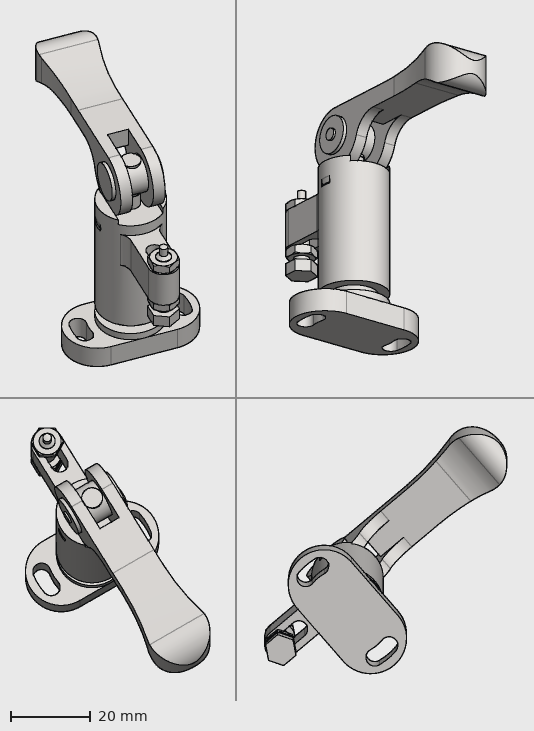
import cadquery as cq
import math

OVERALL_LENGTH = 76.05

COLUMN_DIAMETER = 18.0
PLATE_LENGTH = 36.0
PLATE_HEIGHT = 6.0
FLANGE_TOP = 8.0
NECK_DIAMETER = 12.0
ROD_DIAMETER = 5.0
ROD_END_DIAMETER = 5.25
ARC_SLOT_RADIUS = 13.5
ARC_SLOT_WIDTH = 4.4
ARC_SLOT_HALF_ANGLE = 10.0

HOUSING_BOTTOM = 10.5
SLOT_FLOOR = 43.05
HOUSING_TOP = 44.5
NOTCH_WIDTH = 3.2
NOTCH_DEPTH = 0.2
NOTCH_BOTTOM = 37.95
NOTCH_LEDGE = 38.4

ARM_WIDTH = 8.05
ARM_TOP = 39.9
ARM_HEIGHT = 9.95
ARM_FILLET = 4.0
BOLT_X = 22.0
ARM_SLOT_WIDTH = 4.3
ARM_SLOT_START = 16.0

HEX_FLATS = 7.0
NUT_HEIGHT = 2.4
SHANK_DIAMETER = 4.0
HEAD_BOTTOM = 22.7
HEAD_HEIGHT = 3.2
SHANK_TOP = 42.6
CONE_TOP = 43.35
TIP_DIAMETER = 2.1
TIP_TOP = 45.6
TIP_DOME = 0.15
NUT_CHAMFER_ANGLE = 30.0

PIN_Z = 52.1
PIN_DIAMETER = 9.95
PIN_LENGTH = 14.0
PIN_BOSS_DIAMETER = 3.2
PIN_BOSS_LENGTH = 0.5

LEVER_WIDTH = 12.0
LEVER_TOP = 59.6
LEVER_THICKNESS = 5.2
CAM_RADIUS = 9.5
THROAT_RADIUS = 7.4
FORK_GAP = 5.6
FORK_START = -8.5
KNOB_WIDTH = 16.0
KNOB_TOP = 62.1
KNOB_BOTTOM = 50.95
CROWN_X = -43.05
CROWN_RADIUS = 7.45
LOBE_RADIUS = 4.4
TOP_BLEND_START = -20.15
UNDERSIDE_BLEND_START = -34.9
SIDE_BLEND_START = -24.95

COLUMN_RADIUS = COLUMN_DIAMETER / 2
HEX_CORNER_RADIUS = HEX_FLATS / math.sqrt(3)
ARM_BOTTOM = ARM_TOP - ARM_HEIGHT
PIN_BOTTOM = PIN_Z - PIN_DIAMETER / 2
PIN_TOP = PIN_Z + PIN_DIAMETER / 2
LEVER_UNDERSIDE = LEVER_TOP - LEVER_THICKNESS
EYE_DIAMETER = LEVER_TOP - SLOT_FLOOR
LEVER_TIP = BOLT_X + HEX_CORNER_RADIUS - OVERALL_LENGTH


def cylinder(diameter, bottom, top):
    """Vertical cylinder on the column axis."""
    return cq.Workplane("XY").workplane(offset=bottom).circle(diameter / 2).extrude(top - bottom)


def cross_cylinder(diameter, start, end, z):
    """Cylinder along Y from start to end, at height z above the column axis."""
    plane = cq.Workplane("XZ", origin=(0, start, z))
    return plane.circle(diameter / 2).extrude(start - end)


def point_on(centre, radius, direction):
    """Point of a circle, at a direction in degrees from the first axis."""
    angle = math.radians(direction)
    return (centre[0] + radius * math.cos(angle), centre[1] + radius * math.sin(angle))


def direction_to(start, end):
    """Direction in degrees from one point to another."""
    return math.degrees(math.atan2(end[1] - start[1], end[0] - start[0]))


def blend_to_round(line_x, line_height, centre, radius):
    """Middle and end of an arc that leaves a horizontal line at line_x and runs left into a round.

    The arc is tangent to the line and to the outside of the round. Heights are measured
    outwards from the lever, so the arc's centre lies above the line.
    """
    run = line_x - centre[0]
    rise = line_height - centre[1]
    blend_radius = (run**2 + rise**2 - radius**2) / (2 * (radius - rise))
    blend_centre = (line_x, line_height + blend_radius)
    end_direction = direction_to(blend_centre, centre) % 360
    middle = point_on(blend_centre, blend_radius, (270 + end_direction) / 2)
    end = point_on(blend_centre, blend_radius, end_direction)
    return middle, end


def flipped(point):
    return (point[0], -point[1])



def arc_slot(side):
    """Cutter for a slot curved about the column axis, on the side +1 (+Y) or -1 (-Y)."""
    inner = ARC_SLOT_RADIUS - ARC_SLOT_WIDTH / 2
    outer = ARC_SLOT_RADIUS + ARC_SLOT_WIDTH / 2
    middle = 90 * side
    start = middle - ARC_SLOT_HALF_ANGLE
    end = middle + ARC_SLOT_HALF_ANGLE
    axis = (0, 0)
    band = (
        cq.Workplane("XY")
        .moveTo(*point_on(axis, inner, start))
        .threePointArc(point_on(axis, inner, middle), point_on(axis, inner, end))
        .lineTo(*point_on(axis, outer, end))
        .threePointArc(point_on(axis, outer, middle), point_on(axis, outer, start))
        .close()
        .extrude(PLATE_HEIGHT)
    )
    end_centres = [point_on(axis, ARC_SLOT_RADIUS, angle) for angle in (start, end)]
    ends = cq.Workplane("XY").pushPoints(end_centres).circle(ARC_SLOT_WIDTH / 2).extrude(PLATE_HEIGHT)
    return band.union(ends)


def make_base():
    """Slotted plate with flange, neck and rod; the rod's thicker end fills the pin's cross hole."""
    plate = cq.Workplane("XY").slot2D(PLATE_LENGTH, COLUMN_DIAMETER, 90).extrude(PLATE_HEIGHT)
    for side in (1, -1):
        plate = plate.cut(arc_slot(side))
    flange = cylinder(COLUMN_DIAMETER, PLATE_HEIGHT, FLANGE_TOP)
    neck = cylinder(NECK_DIAMETER, FLANGE_TOP, HOUSING_BOTTOM)
    rod = cylinder(ROD_DIAMETER, HOUSING_BOTTOM, PIN_BOTTOM)
    rod_end = cylinder(ROD_END_DIAMETER, PIN_BOTTOM, PIN_TOP)
    return plate.union(flange).union(neck).union(rod).union(rod_end)



def arm_outline():
    """Arm with a full-round end and fillets that run into the column."""
    half_width = ARM_WIDTH / 2
    fillet_y = half_width + ARM_FILLET
    fillet_x = math.sqrt((COLUMN_RADIUS + ARM_FILLET) ** 2 - fillet_y**2)
    fillet_centre = (fillet_x, fillet_y)
    root_direction = direction_to(fillet_centre, (0, 0)) % 360
    root = point_on(fillet_centre, ARM_FILLET, root_direction)
    middle = point_on(fillet_centre, ARM_FILLET, (root_direction + 270) / 2)
    return (
        cq.Workplane("XY")
        .workplane(offset=ARM_BOTTOM)
        .moveTo(0, 0)
        .lineTo(*root)
        .threePointArc(middle, (fillet_x, half_width))
        .lineTo(BOLT_X, half_width)
        .threePointArc((BOLT_X + half_width, 0), (BOLT_X, -half_width))
        .lineTo(fillet_x, -half_width)
        .threePointArc(flipped(middle), flipped(root))
        .close()
    )


def arm_slot():
    """Through slot for the bolt, ending concentric with the bolt."""
    length = BOLT_X - ARM_SLOT_START + ARM_SLOT_WIDTH
    centre_x = (BOLT_X + ARM_SLOT_START) / 2
    return (
        cq.Workplane("XY", origin=(centre_x, 0, ARM_BOTTOM))
        .slot2D(length, ARM_SLOT_WIDTH)
        .extrude(ARM_HEIGHT)
    )


def side_notches():
    """Two shallow notches on the +Y and -Y sides, deepest at the ledge and fading out upwards."""
    ring = (
        cq.Workplane("XZ")
        .moveTo(COLUMN_RADIUS, NOTCH_BOTTOM)
        .lineTo(COLUMN_RADIUS, ARM_TOP)
        .lineTo(COLUMN_RADIUS - NOTCH_DEPTH, NOTCH_LEDGE)
        .close()
        .revolve(360, (0, 0, 0), (0, 1, 0))
    )
    slab = (
        cq.Workplane("XY")
        .workplane(offset=NOTCH_BOTTOM)
        .rect(NOTCH_WIDTH, COLUMN_DIAMETER)
        .extrude(ARM_TOP - NOTCH_BOTTOM)
    )
    return ring.intersect(slab)


def make_housing():
    """Column that slides on the rod, with a slot for the lever and an arm for the bolt."""
    column = cylinder(COLUMN_DIAMETER, HOUSING_BOTTOM, HOUSING_TOP)
    lever_slot = (
        cq.Workplane("XY")
        .workplane(offset=SLOT_FLOOR)
        .rect(COLUMN_DIAMETER, LEVER_WIDTH)
        .extrude(HOUSING_TOP - SLOT_FLOOR)
    )
    rod_hole = cylinder(ROD_DIAMETER, HOUSING_BOTTOM, HOUSING_TOP)
    arm = arm_outline().extrude(ARM_HEIGHT)
    body = column.union(arm)
    return body.cut(lever_slot).cut(rod_hole).cut(arm_slot()).cut(side_notches())



def lever_side_profile():
    """Outline in the XZ plane: knob, handle and cam, extruded over the knob width."""
    eye_radius = EYE_DIAMETER / 2
    eye_centre_z = SLOT_FLOOR + eye_radius
    pin_centre = (0, PIN_Z)

    cam_flat_end = -math.sqrt(CAM_RADIUS**2 - (PIN_Z - SLOT_FLOOR) ** 2)
    throat_z = LEVER_UNDERSIDE - THROAT_RADIUS
    throat_x = -math.sqrt((CAM_RADIUS + THROAT_RADIUS) ** 2 - (PIN_Z - throat_z) ** 2)
    throat_centre = (throat_x, throat_z)
    cam_start_direction = direction_to(pin_centre, throat_centre) % 360
    cam_end_direction = direction_to(pin_centre, (cam_flat_end, SLOT_FLOOR)) % 360
    cam_start = point_on(pin_centre, CAM_RADIUS, cam_start_direction)
    cam_middle = point_on(pin_centre, CAM_RADIUS, (cam_start_direction + cam_end_direction) / 2)
    throat_direction = cam_start_direction - 180
    throat_middle = point_on(throat_centre, THROAT_RADIUS, (throat_direction + 90) / 2)

    crown_centre = (CROWN_X, KNOB_TOP - CROWN_RADIUS)
    lobe_z = KNOB_BOTTOM + LOBE_RADIUS
    lobe_x = CROWN_X - math.sqrt((CROWN_RADIUS - LOBE_RADIUS) ** 2 - (lobe_z - crown_centre[1]) ** 2)
    lobe_centre = (lobe_x, lobe_z)
    meeting_direction = direction_to(crown_centre, lobe_centre) % 360
    meeting = point_on(crown_centre, CROWN_RADIUS, meeting_direction)
    crown_top = (CROWN_X, KNOB_TOP)
    lobe_bottom = (lobe_x, KNOB_BOTTOM)

    top_middle, top_end = blend_to_round(TOP_BLEND_START, LEVER_TOP, crown_centre, CROWN_RADIUS)
    low_middle, low_end = blend_to_round(
        UNDERSIDE_BLEND_START, -LEVER_UNDERSIDE, flipped(lobe_centre), LOBE_RADIUS
    )

    return (
        cq.Workplane("XZ")
        .moveTo(0, LEVER_TOP)
        .lineTo(TOP_BLEND_START, LEVER_TOP)
        .threePointArc(top_middle, top_end)
        .threePointArc(crown_top, meeting)
        .threePointArc(lobe_bottom, flipped(low_end))
        .threePointArc(flipped(low_middle), (UNDERSIDE_BLEND_START, LEVER_UNDERSIDE))
        .lineTo(throat_x, LEVER_UNDERSIDE)
        .threePointArc(throat_middle, cam_start)
        .threePointArc(cam_middle, (cam_flat_end, SLOT_FLOOR))
        .lineTo(0, SLOT_FLOOR)
        .threePointArc((eye_radius, eye_centre_z), (0, LEVER_TOP))
        .close()
        .extrude(KNOB_WIDTH / 2, both=True)
    )


def lever_plan_profile():
    """Outline in the XY plane: round knob end that narrows to the lever width."""
    half_width = LEVER_WIDTH / 2
    knob_radius = KNOB_WIDTH / 2
    knob_centre = (LEVER_TIP + knob_radius, 0)
    middle, end = blend_to_round(SIDE_BLEND_START, half_width, knob_centre, knob_radius)
    right_end = EYE_DIAMETER
    return (
        cq.Workplane("XY")
        .moveTo(right_end, half_width)
        .lineTo(SIDE_BLEND_START, half_width)
        .threePointArc(middle, end)
        .threePointArc((LEVER_TIP, 0), flipped(end))
        .threePointArc(flipped(middle), (SIDE_BLEND_START, -half_width))
        .lineTo(right_end, -half_width)
        .close()
        .extrude(OVERALL_LENGTH)
    )


def fork_gap(start_x, bottom, top):
    """Cutter for the gap between the fork cheeks, from start_x to beyond the +X end."""
    length = EYE_DIAMETER - start_x
    return (
        cq.Workplane("XY", origin=(start_x + length / 2, 0, bottom))
        .rect(length, FORK_GAP)
        .extrude(top - bottom)
    )


def make_lever():
    """Forked cam lever with a hole for the pin.

    The gap starts near the pin through the handle, and opens fully below the handle's underside.
    """
    upper_gap = fork_gap(FORK_START, LEVER_UNDERSIDE, LEVER_TOP)
    lower_gap = fork_gap(-EYE_DIAMETER, SLOT_FLOOR, LEVER_UNDERSIDE)
    pin_hole = cross_cylinder(PIN_DIAMETER, -LEVER_WIDTH / 2, LEVER_WIDTH / 2, PIN_Z)
    lever = lever_side_profile().intersect(lever_plan_profile())
    return lever.cut(upper_gap).cut(lower_gap).cut(pin_hole)



def make_pin():
    """Lever pin with a small boss on its +Y end, cross-drilled for the rod."""
    half_length = PIN_LENGTH / 2
    pin = cross_cylinder(PIN_DIAMETER, -half_length, half_length, PIN_Z)
    boss = cross_cylinder(PIN_BOSS_DIAMETER, half_length, half_length + PIN_BOSS_LENGTH, PIN_Z)
    rod_hole = cylinder(ROD_END_DIAMETER, PIN_BOTTOM, PIN_TOP)
    return pin.union(boss).cut(rod_hole)



def hex_prism(bottom, height):
    """Hexagon on the bolt axis, with corners toward +X and -X."""
    plane = cq.Workplane("XY", origin=(BOLT_X, 0, bottom))
    return plane.polygon(6, 2 * HEX_CORNER_RADIUS).extrude(height)


def make_bolt():
    """Hexagon bolt standing upright, with a cone and a thin domed tip above the thread."""
    shank_radius = SHANK_DIAMETER / 2
    tip_radius = TIP_DIAMETER / 2
    head_top = HEAD_BOTTOM + HEAD_HEIGHT
    dome_radius = (tip_radius**2 + TIP_DOME**2) / (2 * TIP_DOME)
    dome_half_angle = math.degrees(math.asin(tip_radius / dome_radius))
    dome_centre = (0, TIP_TOP + TIP_DOME - dome_radius)
    dome_middle = point_on(dome_centre, dome_radius, 90 - dome_half_angle / 2)
    shank = (
        cq.Workplane("XZ", origin=(BOLT_X, 0, 0))
        .moveTo(0, head_top)
        .lineTo(shank_radius, head_top)
        .lineTo(shank_radius, SHANK_TOP)
        .lineTo(tip_radius, CONE_TOP)
        .lineTo(tip_radius, TIP_TOP)
        .threePointArc(dome_middle, (0, TIP_TOP + TIP_DOME))
        .close()
        .revolve(360, (0, 0, 0), (0, 1, 0))
    )
    return hex_prism(HEAD_BOTTOM, HEAD_HEIGHT).union(shank)


def make_nut(bottom):
    """Hexagon nut with its corners chamfered on both ends."""
    flat_radius = HEX_FLATS / 2
    corner_drop = (HEX_CORNER_RADIUS - flat_radius) * math.tan(math.radians(NUT_CHAMFER_ANGLE))
    turned_blank = (
        cq.Workplane("XZ", origin=(BOLT_X, 0, bottom))
        .moveTo(SHANK_DIAMETER / 2, 0)
        .lineTo(flat_radius, 0)
        .lineTo(HEX_CORNER_RADIUS, corner_drop)
        .lineTo(HEX_CORNER_RADIUS, NUT_HEIGHT - corner_drop)
        .lineTo(flat_radius, NUT_HEIGHT)
        .lineTo(SHANK_DIAMETER / 2, NUT_HEIGHT)
        .close()
        .revolve(360, (0, 0, 0), (0, 1, 0))
    )
    return hex_prism(bottom, NUT_HEIGHT).intersect(turned_blank)


base = make_base()
housing = make_housing()
lever = make_lever()
pin = make_pin()
bolt = make_bolt()
nuts = [make_nut(bottom) for bottom in (ARM_BOTTOM - NUT_HEIGHT, ARM_TOP)]

result = cq.Compound.makeCompound(
    [base.val(), housing.val(), lever.val(), pin.val(), bolt.val(), *[nut.val() for nut in nuts]]
)